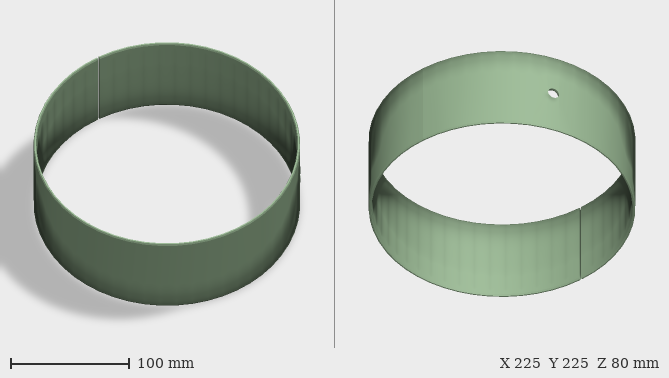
import cadquery as cq

outer_diameter = 225.0
height = 80.0
wall = 2.5

bevel_width = 0.7
bevel_height = 1.5

split_width = 1.8

hole_diameter = 10.0
hole_angle = 59.0

outer_radius = outer_diameter / 2
inner_radius = outer_radius - wall
half_height = height / 2


def make_band():
    """Bevelled wall section revolved about Z, centred on the origin."""
    bevel_start = half_height - bevel_height
    rim_inner = inner_radius + bevel_width
    rim_outer = outer_radius - bevel_width
    section = [
        (rim_inner, -half_height),
        (rim_outer, -half_height),
        (outer_radius, -bevel_start),
        (outer_radius, bevel_start),
        (rim_outer, half_height),
        (rim_inner, half_height),
        (inner_radius, bevel_start),
        (inner_radius, -bevel_start),
    ]
    return cq.Workplane("XZ").polyline(section).close().revolve(360, (0, 0), (0, 1))


def make_split_cutter():
    """Full-height block on the +Y side of the XZ plane, crossing the -X wall."""
    return (
        cq.Workplane("XY")
        .box(outer_diameter, split_width, 2 * height)
        .translate((-outer_radius, split_width / 2, 0))
    )


def make_hole_cutter():
    """Radial cylinder from the axis out through one side of the wall."""
    return (
        cq.Workplane("YZ")
        .circle(hole_diameter / 2)
        .extrude(outer_diameter)
        .rotate((0, 0, 0), (0, 0, 1), hole_angle)
    )


result = make_band().cut(make_split_cutter()).cut(make_hole_cutter())